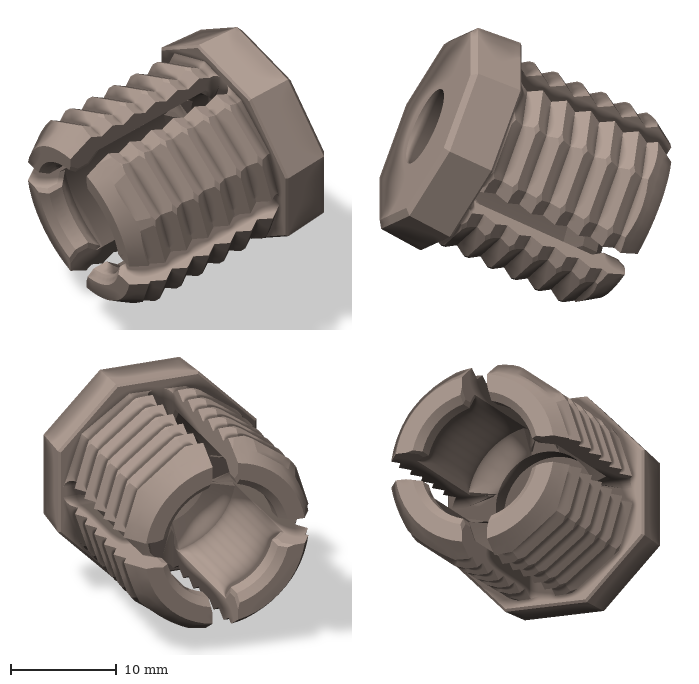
import math

import cadquery as cq

TOTAL_LENGTH = 22.1
HEAD_HEIGHT = 5.1
BODY_LENGTH = TOTAL_LENGTH - HEAD_HEIGHT

HEAD_SIDES = 8
HEAD_HALF_WIDTH = 10.14
UNDERSIDE_HALF_WIDTH = 9.92
TAPERED_HALF_WIDTH = 9.83
END_HALF_WIDTH = 9.17
UNDERSIDE_CHAMFER_HEIGHT = 0.22
END_CHAMFER_HEIGHT = 0.5

THREAD_SIDES = 10
PITCH = 2.54
THREAD_DEPTH = 0.82
CREST_RADIUS = 10.19
CREST_TRIM = 0.19
TAPER_SLOPE = 0.0185
CREST_Y_AT_X_AXIS = 3.1
TURNS_BEFORE_START = 3
TURNS_AFTER_END = 1
THREAD_OVERRUN = 0.5
NOSE_RADIUS = 8.2
NOSE_SLOPE = 0.64

LIP_RADIUS = 5.83
MOUTH_CHAMFER = 0.7
LIP_END_Y = 2.2
BORE_RADIUS = 7.3
FLOOR_CONE_ANGLE = 38
SEAT_RADIUS = 5.1
SEAT_DEPTH = 2.0
HOLE_RADIUS = 3.85

SLOT_COUNT = 4
SLOT_HALF_WIDTH = 1.3
SLOT_FILLET = 0.76
SLOT_REACH = 12.0
EDGE_CHAMFER_INTO_WALL = 0.45
EDGE_CHAMFER_ACROSS_WALL = 0.16
WEDGE_TIP_RADIUS = 8.1
WEDGE_TIP_HALF_WIDTH = SLOT_HALF_WIDTH - SLOT_FILLET
WEDGE_SLOPE = 0.265



def revolved(points):
    """Solid of revolution about Y from (radius, y) points."""
    return cq.Workplane("XY").polyline(points).close().revolve(360, (0, 0, 0), (0, 1, 0))


def crest_radius(y):
    return CREST_RADIUS - TAPER_SLOPE * y


def frustum(start_y, start_half_width, end_y, end_half_width):
    """Octagonal frustum along Y."""
    circle_ratio = 2 / math.cos(math.pi / HEAD_SIDES)
    half_step = 180 / HEAD_SIDES
    start = cq.Workplane("XZ").polygon(HEAD_SIDES, start_half_width * circle_ratio)
    height = end_y - start_y
    solid = (
        start.workplane(offset=-height)
        .polygon(HEAD_SIDES, end_half_width * circle_ratio)
        .loft(ruled=True)
    )
    return solid.rotate((0, 0, 0), (0, 1, 0), half_step).translate((0, start_y, 0))


def make_head():
    widest_y = BODY_LENGTH + UNDERSIDE_CHAMFER_HEIGHT
    tapered_y = TOTAL_LENGTH - END_CHAMFER_HEIGHT
    head = frustum(BODY_LENGTH, UNDERSIDE_HALF_WIDTH, widest_y, HEAD_HALF_WIDTH)
    head = head.union(frustum(widest_y, HEAD_HALF_WIDTH, tapered_y, TAPERED_HALF_WIDTH))
    return head.union(frustum(tapered_y, TAPERED_HALF_WIDTH, TOTAL_LENGTH, END_HALF_WIDTH))


def thread_point(step, is_root):
    """Corner of the thread helix; step 0 is the crest on +X next to the open end."""
    angle = math.pi / 2 + 2 * math.pi * step / THREAD_SIDES
    y = CREST_Y_AT_X_AXIS + PITCH * step / THREAD_SIDES
    radius = crest_radius(y)
    if is_root:
        y += PITCH / 2
        radius -= THREAD_DEPTH
    return cq.Vector(radius * math.sin(angle), y, radius * math.cos(angle))


def triangle(a, b, c):
    return cq.Face.makeFromWires(cq.Wire.makePolygon([a, b, c], close=True))


def make_faceted_thread():
    """Closed polyhedron longer than the body at both ends."""
    turns_along_body = math.ceil(BODY_LENGTH / PITCH)
    first = -TURNS_BEFORE_START * THREAD_SIDES
    last = (turns_along_body + TURNS_AFTER_END) * THREAD_SIDES
    crests = [thread_point(step, False) for step in range(first, last + 1)]
    roots = [thread_point(step, True) for step in range(first, last + 1)]
    faces = []

    def add_strip(lower, upper):
        for i in range(min(len(lower), len(upper)) - 1):
            faces.append(triangle(lower[i], lower[i + 1], upper[i + 1]))
            faces.append(triangle(lower[i], upper[i + 1], upper[i]))

    add_strip(crests, roots)
    add_strip(roots, crests[THREAD_SIDES:])

    start_loop = crests[:THREAD_SIDES + 1] + [roots[0]]
    end_loop = [crests[-1]] + roots[-THREAD_SIDES - 1:]
    for loop in (start_loop, end_loop):
        centre = cq.Vector(0, sum(point.y for point in loop) / len(loop), 0)
        for i, point in enumerate(loop):
            faces.append(triangle(centre, point, loop[i - 1]))
    return cq.Workplane(cq.Solid.makeSolid(cq.Shell.makeShell(faces)))


def make_body():
    """Thread trimmed by the nose cone and by the tapered crest envelope."""
    trimmed_radius = CREST_RADIUS - CREST_TRIM
    shoulder_y = (trimmed_radius - NOSE_RADIUS) / (NOSE_SLOPE + TAPER_SLOPE)
    end_y = BODY_LENGTH + THREAD_OVERRUN
    envelope = revolved([
        (0, 0),
        (NOSE_RADIUS, 0),
        (crest_radius(shoulder_y) - CREST_TRIM, shoulder_y),
        (crest_radius(end_y) - CREST_TRIM, end_y),
        (0, end_y),
    ])
    overrun = frustum(BODY_LENGTH, UNDERSIDE_HALF_WIDTH, end_y, UNDERSIDE_HALF_WIDTH)
    below_head = revolved([
        (0, 0),
        (SLOT_REACH, 0),
        (SLOT_REACH, BODY_LENGTH),
        (0, BODY_LENGTH),
    ])
    return make_faceted_thread().intersect(envelope).intersect(below_head.union(overrun))


def bore_outline(growth):
    """(radius, y) corners of the wide bore, with lip and floor cone moved outwards by growth."""
    lip_radius = LIP_RADIUS + growth
    cone_growth = growth * math.sqrt(2)
    corner_shift = cone_growth - growth
    floor_angle = math.radians(FLOOR_CONE_ANGLE)
    floor_radius = SEAT_RADIUS + growth / math.sin(floor_angle)
    floor_cone_height = (BORE_RADIUS - floor_radius) * math.tan(floor_angle)
    return [
        (LIP_RADIUS + MOUTH_CHAMFER + cone_growth, 0),
        (lip_radius, MOUTH_CHAMFER + corner_shift),
        (lip_radius, LIP_END_Y - corner_shift),
        (BORE_RADIUS, LIP_END_Y + BORE_RADIUS - LIP_RADIUS - cone_growth),
        (BORE_RADIUS, BODY_LENGTH - floor_cone_height),
        (floor_radius, BODY_LENGTH),
    ]


def make_bore():
    seat_y = BODY_LENGTH + SEAT_DEPTH
    wide_bore = bore_outline(0)
    return revolved([(0, 0)] + wide_bore + [
        (SEAT_RADIUS, seat_y),
        (HOLE_RADIUS, seat_y),
        (HOLE_RADIUS, TOTAL_LENGTH),
        (0, TOTAL_LENGTH),
    ])


def chamfer_section(growth, half_width):
    """(x, y) outline of the grown bore, cut by a plane parallel to the slot wall."""
    walls = [(math.sqrt(radius ** 2 - half_width ** 2), y) for radius, y in bore_outline(growth)]
    return [(0, 0)] + walls + [(0, BODY_LENGTH)]


def make_edge_chamfer():
    """Cutter for the edges between the bore and the +Z wall of the slot on +X."""
    far_half_width = SLOT_HALF_WIDTH + 2 * EDGE_CHAMFER_ACROSS_WALL
    return (
        cq.Workplane("XY", origin=(0, 0, SLOT_HALF_WIDTH))
        .polyline(chamfer_section(EDGE_CHAMFER_INTO_WALL, SLOT_HALF_WIDTH))
        .close()
        .workplane(offset=far_half_width - SLOT_HALF_WIDTH)
        .polyline(chamfer_section(-EDGE_CHAMFER_INTO_WALL, far_half_width))
        .close()
        .loft(ruled=True)
    )


def make_slot():
    """Cutter for the slot on +X: a channel with a filleted floor and chamfered bore edges."""
    channel = (
        cq.Workplane("XY")
        .box(SLOT_REACH, BODY_LENGTH, 2 * SLOT_HALF_WIDTH, centered=(False, False, True))
        .edges("|X and >Y")
        .fillet(SLOT_FILLET)
    )
    wedge_start_radius = WEDGE_TIP_RADIUS - (SLOT_HALF_WIDTH - WEDGE_TIP_HALF_WIDTH) / WEDGE_SLOPE
    wedge = (
        cq.Workplane("XZ")
        .polyline([
            (0, -SLOT_HALF_WIDTH),
            (wedge_start_radius, -SLOT_HALF_WIDTH),
            (WEDGE_TIP_RADIUS, -WEDGE_TIP_HALF_WIDTH),
            (WEDGE_TIP_RADIUS, WEDGE_TIP_HALF_WIDTH),
            (wedge_start_radius, SLOT_HALF_WIDTH),
            (0, SLOT_HALF_WIDTH),
        ])
        .close()
        .extrude(-BODY_LENGTH)
    )
    chamfer = make_edge_chamfer()
    return channel.union(wedge).union(chamfer).union(chamfer.mirror("XY"))


result = make_head().union(make_body()).cut(make_bore())
slot = make_slot()
for index in range(SLOT_COUNT):
    result = result.cut(slot.rotate((0, 0, 0), (0, 1, 0), index * 360 / SLOT_COUNT))